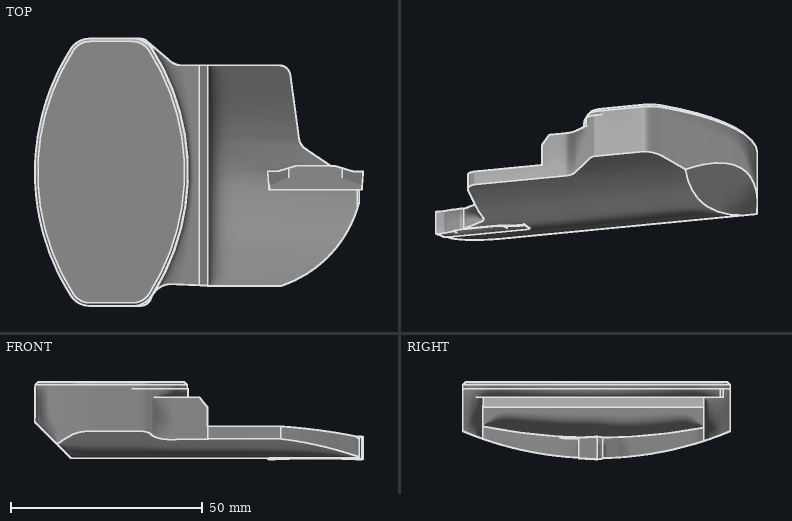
import cadquery as cq
import math

TOP_Z = 20.0
UNDERSIDE_RADIUS = 90.0

LENS_LENGTH = 70.0
LENS_WIDTH = 40.0
LENS_SIDE_RADIUS = 60.0
LENS_CORNER_RADIUS = 6.0
LENS_RIM_HEIGHT = 1.8
LENS_TOP_CHAMFER = 0.8
HEEL_CHAMFER = 9.5

SHOULDER_TOP_Z = 16.0
SHOULDER_END_X = 25.2
SHOULDER_FRONT_Y = -29.3
SHOULDER_FRONT_END_Y = -29.7
BACK_Y = 28.0
SHOULDER_CHAMFER_X = 2.1
SHOULDER_CHAMFER_Z = 2.6
FLANK_START_X = 7.6
FRONT_FLANK_OUTER_RADIUS = 3.0
FRONT_FLANK_INNER_RADIUS = 5.5
BACK_FLANK_OUTER_RADIUS = 2.5
BACK_FLANK_INNER_RADIUS = 4.5
BACK_FLANK_STRAIGHT = 8.2
SHOULDER_CUT_GAP = 0.15
SHOULDER_CUT_START_X = 10.7

ARM_FRONT_Y = -29.8
ARM_END_X = 64.9
ARM_ARC_CENTER_X = 34.5
ARM_ARC_RADIUS = 31.4
ARM_CENTER_THICKNESS = 5.4
ARM_TOP_RADIUS = 150.0
ARM_BACK_CORNER = (46.56, BACK_Y)
ARM_NOTCH_CORNER = (49.4, 7.1)
ARM_NOTCH_TIP = (57.5, 1.65)
ARM_BACK_CORNER_RADIUS = 3.0
ARM_NOTCH_RADIUS = 4.0
ARM_TIP_BEVEL_LENGTH = 0.5
ARM_TIP_BEVEL_DROP = 0.3

INSERT_CENTER_X = 53.45
INSERT_CENTER_Z = ARM_CENTER_THICKNESS / 2
INSERT_TIP_HALF_LENGTH = 12.5
INSERT_BASE_HALF_LENGTH = 12.15
INSERT_BASE_Y = -4.6
INSERT_RIDGE_Y = 1.65
INSERT_RIDGE_HALF_LENGTH = 5.2
INSERT_RAKE_Y = 0.2
INSERT_RAKE_HALF_LENGTH = 10.0
INSERT_TIP_HALF_WIDTH = 3.05
INSERT_BODY_HALF_WIDTH = 2.85
INSERT_CORNER_CHAMFER_X = 0.5
INSERT_CORNER_CHAMFER_Z = 0.15
FLARE_INNER = (7.05, -1.3)
FLARE_OUTER = (11.9, -3.35)

REACH = 200.0
CUT_MARGIN = 1.0


def box(x_range, y_range, z_range):
    """Box between the given limits on each axis."""
    size = [high - low for low, high in (x_range, y_range, z_range)]
    return cq.Workplane("XY").box(*size, centered=False).translate((x_range[0], y_range[0], z_range[0]))


def lens_prism(bottom_z, top_z):
    """Flat-ended lens with rounded corners, extruded between two levels."""
    half_length = LENS_LENGTH / 2
    half_width = LENS_WIDTH / 2
    arc_center_x = LENS_SIDE_RADIUS - half_width
    corner_x = math.sqrt(LENS_SIDE_RADIUS**2 - half_length**2) - arc_center_x
    prism = (
        cq.Workplane("XY", origin=(0, 0, bottom_z))
        .moveTo(-corner_x, -half_length)
        .lineTo(corner_x, -half_length)
        .threePointArc((half_width, 0), (corner_x, half_length))
        .lineTo(-corner_x, half_length)
        .threePointArc((-half_width, 0), (-corner_x, -half_length))
        .close()
        .extrude(top_z - bottom_z)
    )
    return prism.edges("|Z").fillet(LENS_CORNER_RADIUS)


def flank_outline(outer_radius, inner_radius, straight, end_y):
    """Flank from the flat lens end down to the shoulder side, given for the +Y side.

    A convex arc, a tangent straight of the given length and a concave arc.
    Returns the arc points: start, middle and end of each arc.
    """
    outer_center_x = FLANK_START_X
    outer_center_y = LENS_LENGTH / 2 - outer_radius
    inner_center_y = end_y + inner_radius
    radii = outer_radius + inner_radius
    center_distance = math.hypot(radii, straight)
    center_drop = outer_center_y - inner_center_y
    inner_center_x = outer_center_x + math.sqrt(center_distance**2 - center_drop**2)
    turn = math.asin(radii / center_distance) + math.asin(center_drop / center_distance)

    def on_outer(angle):
        return (
            outer_center_x + outer_radius * math.sin(angle),
            outer_center_y + outer_radius * math.cos(angle),
        )

    def on_inner(angle):
        return (
            inner_center_x - inner_radius * math.sin(angle),
            inner_center_y - inner_radius * math.cos(angle),
        )

    outer_arc = [on_outer(0), on_outer(turn / 2), on_outer(turn)]
    inner_arc = [on_inner(turn), on_inner(turn / 2), on_inner(0)]
    return outer_arc, inner_arc


def foot():
    """Right half of the head foot, flowing through both flanks into the shoulder."""
    half_length = LENS_LENGTH / 2
    front_arcs = flank_outline(FRONT_FLANK_OUTER_RADIUS, FRONT_FLANK_INNER_RADIUS, 0, -SHOULDER_FRONT_Y)
    front_outer, front_inner = ([(x, -y) for x, y in arc] for arc in front_arcs)
    back_outer, back_inner = flank_outline(
        BACK_FLANK_OUTER_RADIUS, BACK_FLANK_INNER_RADIUS, BACK_FLANK_STRAIGHT, BACK_Y
    )
    return (
        cq.Workplane("XY")
        .moveTo(0, -half_length)
        .lineTo(*front_outer[0])
        .threePointArc(*front_outer[1:])
        .threePointArc(*front_inner[1:])
        .lineTo(SHOULDER_END_X, SHOULDER_FRONT_END_Y)
        .lineTo(SHOULDER_END_X, BACK_Y)
        .lineTo(*back_inner[2])
        .threePointArc(back_inner[1], back_inner[0])
        .lineTo(*back_outer[2])
        .threePointArc(back_outer[1], back_outer[0])
        .lineTo(0, half_length)
        .close()
        .extrude(TOP_Z)
    )


def head_and_shoulder():
    """Lens head with the chamfered shoulder block grown from its right side."""
    body = lens_prism(0, TOP_Z).union(foot())

    head_wall = (
        cq.Workplane("XY", origin=(LENS_WIDTH / 2 - LENS_SIDE_RADIUS, 0, 0))
        .circle(LENS_SIDE_RADIUS + SHOULDER_CUT_GAP)
        .extrude(TOP_Z)
    )
    above_shoulder = box((SHOULDER_CUT_START_X, REACH), (-REACH, REACH), (SHOULDER_TOP_Z, TOP_Z))
    body = body.cut(above_shoulder.cut(head_wall))

    rim_z = TOP_Z - LENS_RIM_HEIGHT
    rim = lens_prism(rim_z, TOP_Z)
    rim = rim.faces(">Z").chamfer(LENS_TOP_CHAMFER)
    body = body.cut(box((-REACH, REACH), (-REACH, REACH), (rim_z, TOP_Z))).union(rim)

    bevel = (
        cq.Workplane("XZ", origin=(0, REACH, 0))
        .moveTo(SHOULDER_END_X - SHOULDER_CHAMFER_X, SHOULDER_TOP_Z)
        .lineTo(SHOULDER_END_X, SHOULDER_TOP_Z)
        .lineTo(SHOULDER_END_X, SHOULDER_TOP_Z - SHOULDER_CHAMFER_Z)
        .close()
        .extrude(2 * REACH)
    )
    return body.cut(bevel)


def cylinder_along_x(radius, lowest_z):
    """Long cylinder along X whose lowest line is at the given level."""
    return cq.Workplane("YZ", origin=(-REACH, 0, lowest_z + radius)).circle(radius).extrude(2 * REACH)


def arm():
    """Arm blade: rounded front, notched back and a concave cylindrical top."""
    arc_start_x = ARM_ARC_CENTER_X + math.sqrt(ARM_ARC_RADIUS**2 - ARM_FRONT_Y**2)
    arc_end_y = -math.sqrt(ARM_ARC_RADIUS**2 - (ARM_END_X - ARM_ARC_CENTER_X) ** 2)
    middle_angle = -math.pi / 4
    arc_middle = (
        ARM_ARC_CENTER_X + ARM_ARC_RADIUS * math.cos(middle_angle),
        ARM_ARC_RADIUS * math.sin(middle_angle),
    )
    blade = (
        cq.Workplane("XY")
        .moveTo(SHOULDER_END_X, ARM_FRONT_Y)
        .lineTo(arc_start_x, ARM_FRONT_Y)
        .threePointArc(arc_middle, (ARM_END_X, arc_end_y))
        .lineTo(ARM_END_X, INSERT_BASE_Y)
        .lineTo(ARM_NOTCH_TIP[0], INSERT_BASE_Y)
        .lineTo(*ARM_NOTCH_TIP)
        .lineTo(*ARM_NOTCH_CORNER)
        .lineTo(*ARM_BACK_CORNER)
        .lineTo(SHOULDER_END_X, BACK_Y)
        .close()
        .extrude(SHOULDER_TOP_Z)
    )
    blade = blade.edges(vertical_edge_at(ARM_BACK_CORNER)).fillet(ARM_BACK_CORNER_RADIUS)
    blade = blade.edges(vertical_edge_at(ARM_NOTCH_CORNER)).fillet(ARM_NOTCH_RADIUS)
    blade = blade.cut(cylinder_along_x(ARM_TOP_RADIUS, ARM_CENTER_THICKNESS))

    bevel = (
        cq.Workplane("XZ", origin=(0, INSERT_BASE_Y, 0))
        .moveTo(ARM_END_X - ARM_TIP_BEVEL_LENGTH, ARM_CENTER_THICKNESS)
        .lineTo(ARM_END_X, ARM_CENTER_THICKNESS - ARM_TIP_BEVEL_DROP)
        .lineTo(ARM_END_X, SHOULDER_TOP_Z)
        .lineTo(ARM_END_X - ARM_TIP_BEVEL_LENGTH, SHOULDER_TOP_Z)
        .close()
        .extrude(-arc_end_y)
    )
    return blade.cut(bevel)


def vertical_edge_at(point):
    """Selector for the vertical edge standing on the given XY point."""
    return cq.selectors.NearestToPointSelector((point[0], point[1], SHOULDER_TOP_Z / 2))


def insert_prism(half_width):
    """Side profile of the insert, extruded evenly to both sides of Z = 0."""
    right_half = [
        (INSERT_BASE_HALF_LENGTH, INSERT_BASE_Y),
        (INSERT_TIP_HALF_LENGTH, INSERT_RAKE_Y),
        (INSERT_RAKE_HALF_LENGTH, INSERT_RAKE_Y),
        (INSERT_RIDGE_HALF_LENGTH, INSERT_RIDGE_Y),
    ]
    left_half = [(-x, y) for x, y in reversed(right_half)]
    return (
        cq.Workplane("XY", origin=(0, 0, -half_width))
        .polyline(right_half + left_half)
        .close()
        .extrude(2 * half_width)
    )


def tip_flare():
    """Wedge that widens the right tip from the flare line up to its cutting corner."""
    run_x = FLARE_INNER[0] - FLARE_OUTER[0]
    run_y = FLARE_INNER[1] - FLARE_OUTER[1]
    run = math.hypot(run_x, run_y)
    across_x = run_y / run
    across_y = -run_x / run
    corner_x = INSERT_TIP_HALF_LENGTH - FLARE_OUTER[0]
    corner_y = INSERT_RAKE_Y - FLARE_OUTER[1]
    corner_distance = corner_x * across_x + corner_y * across_y
    wedge_plane = cq.Plane(
        origin=(*FLARE_OUTER, 0),
        xDir=(across_x, across_y, 0),
        normal=(run_x, run_y, 0),
    )
    wedge = (
        cq.Workplane(wedge_plane)
        .moveTo(0, -INSERT_BODY_HALF_WIDTH)
        .lineTo(corner_distance, -INSERT_TIP_HALF_WIDTH)
        .lineTo(corner_distance, INSERT_TIP_HALF_WIDTH)
        .lineTo(0, INSERT_BODY_HALF_WIDTH)
        .close()
        .extrude(2 * run, both=True)
    )
    tip_zone = box((FLARE_INNER[0], REACH), (-REACH, REACH), (-REACH, REACH))
    return insert_prism(INSERT_TIP_HALF_WIDTH).intersect(wedge).intersect(tip_zone)


def end_chamfer(x_sign, z_sign):
    """Sliver removed along one end edge, following the lean of the insert's end face."""
    lean = (INSERT_TIP_HALF_LENGTH - INSERT_BASE_HALF_LENGTH) / (INSERT_RAKE_Y - INSERT_BASE_Y)

    def section(y, half_width):
        end_x = INSERT_TIP_HALF_LENGTH + lean * (y - INSERT_RAKE_Y)
        corners = [
            (end_x - INSERT_CORNER_CHAMFER_X, y, half_width),
            (end_x, y, half_width - INSERT_CORNER_CHAMFER_Z),
            (end_x + CUT_MARGIN, y, half_width - INSERT_CORNER_CHAMFER_Z),
            (end_x + CUT_MARGIN, y, half_width + CUT_MARGIN),
            (end_x - INSERT_CORNER_CHAMFER_X, y, half_width + CUT_MARGIN),
        ]
        points = [cq.Vector(x_sign * x, y, z_sign * z) for x, y, z in corners]
        return cq.Wire.makePolygon(points, close=True)

    tip_section = section(INSERT_RAKE_Y, INSERT_TIP_HALF_WIDTH)
    middle_section = section(FLARE_OUTER[1], INSERT_BODY_HALF_WIDTH)
    base_section = section(INSERT_BASE_Y, INSERT_BODY_HALF_WIDTH)
    flare_part = cq.Workplane(cq.Solid.makeLoft([tip_section, middle_section], True))
    body_part = cq.Workplane(cq.Solid.makeLoft([middle_section, base_section], True))
    return flare_part.union(body_part)


def build_insert():
    """Complete insert in its working position."""
    flare = tip_flare()
    insert = insert_prism(INSERT_BODY_HALF_WIDTH).union(flare).union(flare.mirror("YZ"))
    for x_sign in (-1, 1):
        for z_sign in (-1, 1):
            insert = insert.cut(end_chamfer(x_sign, z_sign))
    return insert.translate((INSERT_CENTER_X, 0, INSERT_CENTER_Z))


def build_holder(insert):
    """Head, shoulder and arm as one solid, with a seat for the insert."""
    holder = head_and_shoulder().union(arm())
    holder = holder.intersect(cylinder_along_x(UNDERSIDE_RADIUS, 0))
    left_x = -LENS_WIDTH / 2
    heel = (
        cq.Workplane("XZ", origin=(0, REACH, 0))
        .moveTo(left_x, 0)
        .lineTo(left_x + HEEL_CHAMFER, 0)
        .lineTo(left_x, HEEL_CHAMFER)
        .close()
        .extrude(2 * REACH)
    )
    return holder.cut(heel).cut(insert)


insert = build_insert()
holder = build_holder(insert)
result = cq.Compound.makeCompound([holder.val(), insert.val()])